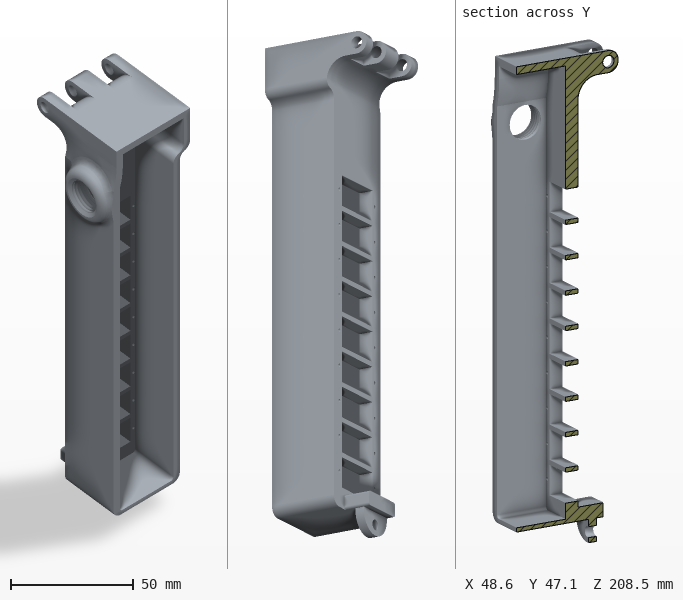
import cadquery as cq
import math


height = 198.5
depth = 29.5
half_width = 18.15
corner_radius = 4.0
front_plate = 6.2

head_right = -16.5
head_left = 23.8
right_flare_top = height - 9.0
right_flare_bottom = height - 21.0
left_flare_top = height - 17.5
left_flare_bottom = height - 24.9

hinge_reach = 19.05
hinge_height = 9.6
barrel_radius = hinge_height / 2
hinge_hole_diameter = 5.1
web_radius = 9.0
end_knuckle = 5.0
middle_knuckle = 9.7
gap_radius = 8.4

window_count = 9
window_pitch = 15.08
window_width = 24.0
window_height = 13.0
lowest_window = 8.8
screw_hole_diameter = 1.4
screw_spacing = 27.6

wall = 3.5
floor_thickness = 2.0
cavity_corner_radius = 1.4

boss_x = 16.1
boss_z = height - 29.9
boss_height = 5.17
boss_root_radius = 14.0
boss_draft = math.radians(20)
boss_foot_fillet = 3.5
boss_face_fillet = 3.4
boss_face_y = -half_width - boss_height
bore_radius = 14.8 / 2
bore_mouth_radius = 8.9
bore_mouth_depth = 1.0
thread_pitch = 1.5
thread_depth = 0.9
bore_overrun = 0.5
fit_margin = 0.1

shelf_reach = 11.9
shelf_width = 20.2
shelf_height = 6.2
shelf_edge_radius = 1.0
tongue_width = 18.0
tongue_drop = 208.49 - height
tongue_back = 4.7
tongue_thickness = 4.0
tongue_hole_diameter = 4.5
tongue_hole_drop = 5.4


def box(x_range, y_range, z_range):
    """Box between pairs of coordinates."""
    sizes = [r[1] - r[0] for r in (x_range, y_range, z_range)]
    corner = (x_range[0], y_range[0], z_range[0])
    return cq.Workplane("XY").box(*sizes, centered=False).translate(corner)


def flared_prism(inset, foot, top, radius, x_start, x_end):
    """Housing cross-section in YZ, inset from the outside and extruded along X."""
    right = -half_width + inset
    left = half_width - inset
    upper_right = head_right + inset
    upper_left = head_left - inset
    left_middle = ((left + upper_left) / 2, (left_flare_top + left_flare_bottom) / 2)
    return (
        cq.Workplane("YZ", origin=(x_start, 0, 0))
        .moveTo(right + radius, foot)
        .lineTo(left - radius, foot)
        .tangentArcPoint((left, foot + radius), relative=False)
        .lineTo(left, left_flare_bottom)
        .tangentArcPoint(left_middle, relative=False)
        .tangentArcPoint((upper_left, left_flare_top), relative=False)
        .lineTo(upper_left, top)
        .lineTo(upper_right, top)
        .lineTo(upper_right, right_flare_top)
        .tangentArcPoint((right, right_flare_bottom), relative=False)
        .lineTo(right, foot + radius)
        .tangentArcPoint((right + radius, foot), relative=False)
        .close()
        .extrude(x_end - x_start)
    )


def make_hinge():
    """Hinge knuckles, the concave web below them and the rounded gaps between them."""
    underside = height - hinge_height
    tip = -hinge_reach
    axis_x = tip + barrel_radius
    axis_z = height - barrel_radius
    head_width = head_left - head_right
    full_width = head_left + half_width
    hinge = (
        cq.Workplane("XZ", origin=(0, head_left, 0))
        .moveTo(0, height)
        .lineTo(axis_x, height)
        .threePointArc((tip, axis_z), (axis_x, underside))
        .lineTo(-web_radius, underside)
        .tangentArcPoint((0, underside - web_radius), relative=False)
        .close()
        .extrude(full_width)
    )
    bore = (
        cq.Workplane("XZ", origin=(axis_x, head_left, axis_z))
        .circle(hinge_hole_diameter / 2)
        .extrude(full_width)
    )
    middle = (head_left + head_right) / 2
    gap_width = (head_width - middle_knuckle) / 2 - end_knuckle
    mid_angle = math.pi / 4
    gap = (
        cq.Workplane("XZ")
        .moveTo(0, height)
        .threePointArc(
            (-gap_radius * math.sin(mid_angle), height - gap_radius * (1 - math.cos(mid_angle))),
            (-gap_radius, height - gap_radius),
        )
        .lineTo(-gap_radius, underside - web_radius)
        .lineTo(tip, underside - web_radius)
        .lineTo(tip, height)
        .close()
        .extrude(gap_width)
    )
    flare = flared_prism(0, 0, height, corner_radius, tip, 0)
    hinge = hinge.intersect(flare).cut(bore)
    for gap_left in (head_left - end_knuckle, middle - middle_knuckle / 2):
        hinge = hinge.cut(gap.translate((0, gap_left, 0)))
    return hinge


def make_boss_rounding():
    """Ring to cut away so that the boss's drafted side rolls smoothly into its face."""
    turn = math.pi / 2 - boss_draft
    rim_radius = boss_root_radius - (head_right - boss_face_y) * math.tan(boss_draft)
    start_radius = rim_radius - boss_face_fillet * math.tan(turn / 2)
    arc_points = [
        (
            start_radius + boss_face_fillet * math.sin(angle),
            boss_face_y + boss_face_fillet * (1 - math.cos(angle)),
        )
        for angle in (turn / 2, turn)
    ]
    end_radius = arc_points[-1][0]
    return (
        cq.Workplane("XY")
        .moveTo(start_radius, boss_face_y)
        .threePointArc(*arc_points)
        .lineTo(end_radius, boss_face_y - fit_margin)
        .lineTo(start_radius, boss_face_y - fit_margin)
        .close()
        .revolve(360, (0, 0, 0), (0, 1, 0))
        .translate((boss_x, 0, boss_z))
    )


def make_shell():
    """Solid housing with the tapered gland boss, whose foot blend is trimmed to the housing depth."""
    block = flared_prism(0, 0, height, corner_radius, -boss_root_radius, depth + boss_root_radius)
    boss = (
        cq.Workplane("XZ", origin=(boss_x, head_right, boss_z))
        .circle(boss_root_radius)
        .extrude(head_right - boss_face_y, taper=math.degrees(boss_draft))
    )
    foot_zone = cq.selectors.BoxSelector(
        (boss_x - boss_root_radius, -half_width - fit_margin, boss_z - boss_root_radius),
        (boss_x + boss_root_radius, head_right, boss_z + boss_root_radius),
        boundingbox=True,
    )
    shell = block.union(boss).edges(foot_zone).fillet(boss_foot_fillet)
    trim = box((0, depth), (boss_face_y, half_width + head_left), (0, height))
    return shell.intersect(trim).cut(make_boss_rounding())


def make_bore():
    """Threaded bore with a chamfered mouth; the thread is a stack of V grooves."""
    face = boss_face_y
    inner = -half_width + wall + bore_overrun
    bore = (
        cq.Workplane("XY")
        .moveTo(0, face)
        .lineTo(bore_mouth_radius, face)
        .lineTo(bore_radius, face + bore_mouth_depth)
    )
    thread_start = face + bore_mouth_depth
    turns = int((inner - thread_start) / thread_pitch)
    for turn in range(turns):
        groove = thread_start + turn * thread_pitch
        bore = bore.lineTo(bore_radius + thread_depth, groove + thread_pitch / 2)
        bore = bore.lineTo(bore_radius, groove + thread_pitch)
    return (
        bore.lineTo(bore_radius, inner)
        .lineTo(0, inner)
        .close()
        .revolve(360, (0, 0, 0), (0, 1, 0))
        .translate((boss_x, 0, boss_z))
    )


def make_latch():
    """Shelf on the front plate with a round tongue hanging below it."""
    shelf = box((-shelf_reach, 0), (-shelf_width / 2, shelf_width / 2), (0, shelf_height))
    shelf = shelf.edges("|X").fillet(shelf_edge_radius)
    radius = tongue_width / 2
    tongue = (
        cq.Workplane("YZ", origin=(-tongue_back - tongue_thickness, 0, 0))
        .moveTo(-radius, shelf_height / 2)
        .lineTo(-radius, radius - tongue_drop)
        .threePointArc((0, -tongue_drop), (radius, radius - tongue_drop))
        .lineTo(radius, shelf_height / 2)
        .close()
        .extrude(tongue_thickness)
    )
    hole = (
        cq.Workplane("YZ", origin=(-shelf_reach, 0, -tongue_hole_drop))
        .circle(tongue_hole_diameter / 2)
        .extrude(shelf_reach)
    )
    return shelf.union(tongue).cut(hole)


def make_windows():
    """Column of windows through the front plate, each between two screw holes."""
    centers = [
        (0, lowest_window + window_height / 2 + i * window_pitch)
        for i in range(window_count)
    ]
    screws = [(side * screw_spacing / 2, z) for _, z in centers for side in (-1, 1)]
    plane = cq.Workplane("YZ")
    windows = plane.pushPoints(centers).rect(window_width, window_height).extrude(front_plate)
    holes = plane.pushPoints(screws).circle(screw_hole_diameter / 2).extrude(front_plate)
    return windows.union(holes)


cavity = flared_prism(wall, floor_thickness, height - wall, cavity_corner_radius, front_plate, depth)
result = (
    make_shell()
    .union(make_hinge())
    .union(make_latch())
    .cut(cavity)
    .cut(make_windows())
    .cut(make_bore())
)